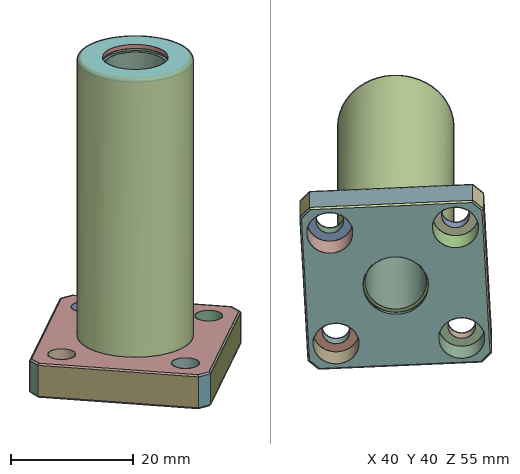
import cadquery as cq

total_height = 55.0
corner_span = 40.0

flange_side = 30.0
flange_thickness = 6.0
flange_chamfer = 0.3

sleeve_diameter = 19.0
sleeve_top_fillet = 0.6
bore_diameter = 10.0

lip_diameter = 10.6
lip_depth = 0.7
groove_diameter = 11.2
groove_width = 0.5

bolt_circle_diameter = 29.0
bolt_hole_count = 4
bolt_hole_diameter = 4.5
counterbore_diameter = 7.5
counterbore_depth = 4.1


def disc(diameter, bottom, height):
    return cq.Workplane("XY").workplane(offset=bottom).circle(diameter / 2).extrude(height)


def make_flange():
    square = (
        cq.Workplane("XY")
        .rect(flange_side, flange_side)
        .extrude(flange_thickness)
        .rotate((0, 0, 0), (0, 0, 1), 45)
    )
    corner_trim = cq.Workplane("XY").rect(corner_span, corner_span).extrude(flange_thickness)
    return square.intersect(corner_trim).faces("<Z or >Z").chamfer(flange_chamfer)


def make_sleeve():
    sleeve = disc(sleeve_diameter, 0, total_height)
    return sleeve.faces(">Z").edges().fillet(sleeve_top_fillet)


def cut_bore(body):
    recess_depth = lip_depth + groove_width
    body = body.cut(disc(bore_diameter, 0, total_height))
    for lip_bottom, groove_bottom in (
        (0, lip_depth),
        (total_height - lip_depth, total_height - recess_depth),
    ):
        body = body.cut(disc(lip_diameter, lip_bottom, lip_depth))
        body = body.cut(disc(groove_diameter, groove_bottom, groove_width))
    return body


def cut_bolt_holes(body):
    return (
        body.faces("<Z")
        .workplane(origin=(0, 0, 0))
        .polarArray(bolt_circle_diameter / 2, 0, 360, bolt_hole_count)
        .cboreHole(bolt_hole_diameter, counterbore_diameter, counterbore_depth, flange_thickness)
    )


result = cut_bolt_holes(cut_bore(make_flange().union(make_sleeve())))